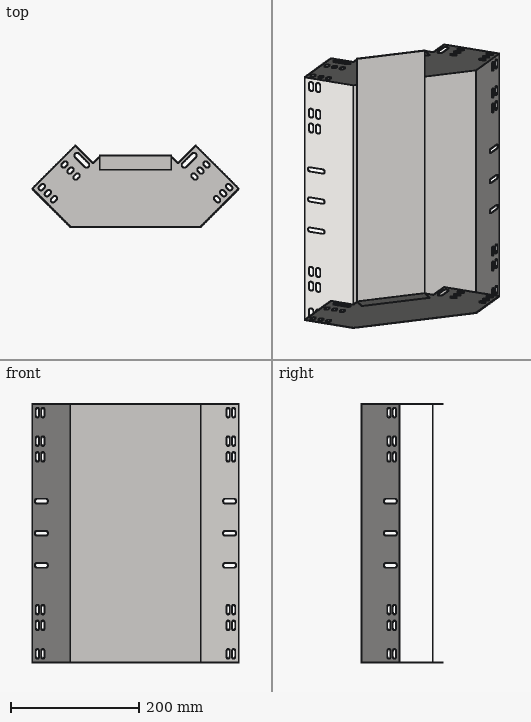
import cadquery as cq
import math

height = 403.0
width = 322.0
front_width = 203.2
depth = 127.0
sheet = 0.6
half_height = height / 2
cut_depth = 4 * sheet
bend_angle = math.radians(45)

side_corner_x = width / 2
front_corner_x = front_width / 2
side_corner_y = side_corner_x - front_corner_x
end_rise = depth - side_corner_y
tip_x = side_corner_x - end_rise
tip_leg = 27.5
notch_x = tip_x - tip_leg
notch_y = depth - tip_leg

channel_half_width = 56.0
channel_back_y = 111.5
flange_front_y = 89.0
flange_side_y = notch_y + (notch_x - channel_half_width)

plate_slot_length = 11.0
plate_slot_width = 7.0
plate_slot_rows = (12.5, 62.5)
plate_slot_first = 9.0
plate_slot_pitch = 13.5
plate_slot_count = 3
tip_slot_along = 86.3
tip_slot_inward = 23.5
tip_slot_length = 29.0
tip_slot_width = 8.0

wall_slot_length = 15.0
wall_slot_width = 7.3
wall_slot_columns = (11.3, 23.5)
wall_slot_heights = (119.0, 143.5, 188.0)
cross_slot_length = 28.5
cross_slot_width = 7.0
cross_slot_along = 20.0
cross_slot_heights = (-50.0, 0.0, 50.0)


def mirrored_outline(right_points):
    """Closed outline, symmetric about X = 0, from points on the +X side, listed front to back."""
    left_points = [(-x, y) for x, y in reversed(right_points)]
    return cq.Workplane("XY").polyline(right_points + left_points).close()


def end_plate(bottom_z):
    """Flat plate with two pointed ears and an opening for the channel flange."""
    outline = mirrored_outline([
        (front_corner_x, 0),
        (side_corner_x, side_corner_y),
        (tip_x, depth),
        (notch_x, notch_y),
        (channel_half_width, flange_side_y),
        (channel_half_width, flange_front_y),
    ])
    return outline.extrude(sheet).translate((0, 0, bottom_z))


def folded_wall():
    """Front wall and the two slanted walls, one sheet thick, over the full height."""
    diagonal_step = sheet / math.sqrt(2)
    inner_front_x = front_corner_x - sheet * math.tan(bend_angle / 2)
    outline = mirrored_outline([
        (front_corner_x, 0),
        (side_corner_x, side_corner_y),
        (side_corner_x - diagonal_step, side_corner_y + diagonal_step),
        (inner_front_x, sheet),
    ])
    return outline.extrude(height).translate((0, 0, -half_height))


def plate_slots():
    """Slot cutters through both end plates on the +X side."""
    end_edge = cq.Workplane(cq.Plane(
        origin=(side_corner_x, side_corner_y, -half_height - sheet),
        xDir=(-1, 1, 0),
        normal=(0, 0, 1),
    ))
    through = height + 2 * sheet
    places = [
        (along, plate_slot_first + i * plate_slot_pitch)
        for along in plate_slot_rows
        for i in range(plate_slot_count)
    ]
    small = end_edge.pushPoints(places).slot2D(plate_slot_length, plate_slot_width).extrude(through)
    tip = (
        end_edge.center(tip_slot_along, tip_slot_inward)
        .slot2D(tip_slot_length, tip_slot_width, 90)
        .extrude(through)
    )
    return small.add(tip)


def wall_slots():
    """Slot cutters through the slanted wall on the +X side."""
    wall_face = cq.Workplane(cq.Plane(
        origin=(side_corner_x, side_corner_y, 0),
        xDir=(-1, -1, 0),
        normal=(1, -1, 0),
    ))
    places = [
        (along, side * z)
        for along in wall_slot_columns
        for z in wall_slot_heights
        for side in (-1, 1)
    ]
    upright = (
        wall_face.pushPoints(places)
        .slot2D(wall_slot_length, wall_slot_width, 90)
        .extrude(cut_depth, both=True)
    )
    crosswise = (
        wall_face.pushPoints([(cross_slot_along, z) for z in cross_slot_heights])
        .slot2D(cross_slot_length, cross_slot_width)
        .extrude(cut_depth, both=True)
    )
    return upright.add(crosswise)


def make_housing():
    """Folded housing: end plates, front wall and slanted walls, with its slot pattern."""
    body = folded_wall().union(end_plate(-half_height)).union(end_plate(half_height - sheet))
    for cutters in (plate_slots(), wall_slots()):
        for cutter in cutters.vals():
            body = body.cut(cq.Workplane(cutter)).cut(cq.Workplane(cutter.mirror("YZ")))
    return body.clean()


def make_back_channel():
    """C-shaped channel closing the back; its flanges lie flush in the end plates."""
    inner_back_y = channel_back_y - sheet
    inner_height = half_height - sheet
    profile = [
        (flange_front_y, -half_height),
        (channel_back_y, -half_height),
        (channel_back_y, half_height),
        (flange_front_y, half_height),
        (flange_front_y, inner_height),
        (inner_back_y, inner_height),
        (inner_back_y, -inner_height),
        (flange_front_y, -inner_height),
    ]
    return cq.Workplane("YZ").polyline(profile).close().extrude(channel_half_width, both=True)


housing = make_housing()
back_channel = make_back_channel()

result = cq.Compound.makeCompound([housing.solids().val(), back_channel.solids().val()])